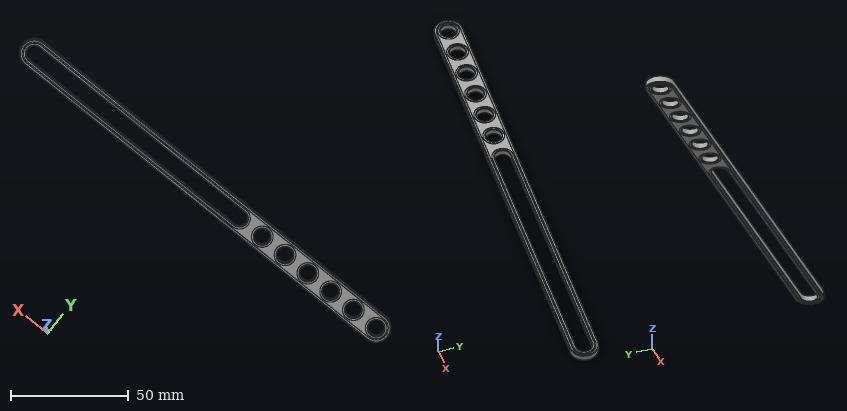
import cadquery as cq

length = 200.0
pitch_count = 16
pitch = length / pitch_count
width = pitch
thickness = width / 4

hole_diameter = 7.0
hole_count = 6
slot_pitches = pitch_count - hole_count - 1

edge_chamfer = 0.3
rim_width = 1.1
recess_depth = 0.2

first_hole_x = (pitch - length) / 2
last_hole_x = -first_hole_x
hole_centers = [(first_hole_x + i * pitch, 0) for i in range(hole_count)]
slot_travel = slot_pitches * pitch
slot_center_x = last_hole_x - slot_travel / 2


def rounded_bar(center_x, straight_length, bar_width, base_z, height):
    """Upright prism with semicircular ends, centred on (center_x, 0)."""
    return (
        cq.Workplane("XY", origin=(center_x, 0, base_z))
        .slot2D(straight_length + bar_width, bar_width)
        .extrude(height)
    )


def perforated_strip(inset, base_z, height):
    """Strip with its holes and slot, every edge moved inwards by inset."""
    opening_width = hole_diameter + 2 * inset
    strip = rounded_bar(0, length - width, width - 2 * inset, base_z, height)
    holes = (
        cq.Workplane("XY", origin=(0, 0, base_z))
        .pushPoints(hole_centers)
        .circle(opening_width / 2)
        .extrude(height)
    )
    slot = rounded_bar(slot_center_x, slot_travel, opening_width, base_z, height)
    return strip.cut(holes).cut(slot)


body = perforated_strip(0, -thickness / 2, thickness)
body = body.faces("<Z or >Z").edges().chamfer(edge_chamfer)

for recess_base_z in (thickness / 2 - recess_depth, -thickness / 2):
    body = body.cut(perforated_strip(rim_width, recess_base_z, recess_depth))

result = body